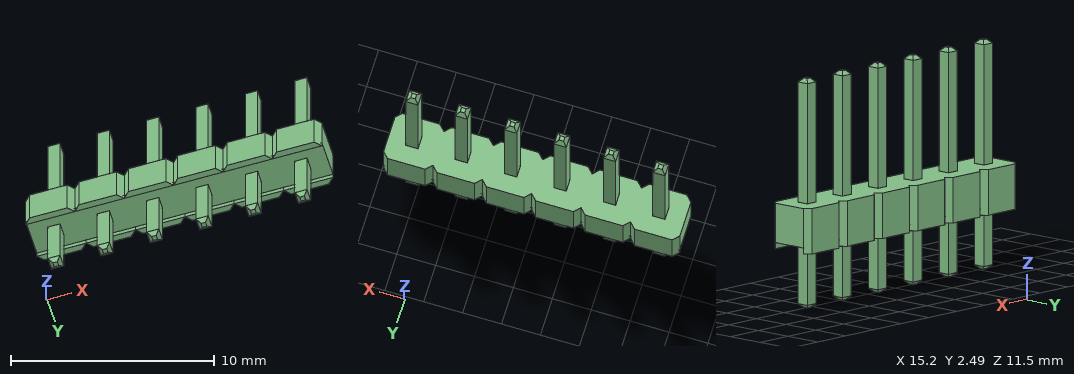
import cadquery as cq

pin_count = 6
pitch = 2.54
body_depth = 2.49
body_height = 2.29
corner_x = 0.30
corner_y = 0.31
channel_height = 0.31
pin_width = 0.635
pin_length = 11.54
pin_below_body = 3.01
tip_length = 0.20
tip_width = 0.235

row_length = pin_count * pitch
channel_width = body_depth - 2 * corner_y
pin_bottom = -pin_below_body
shank_length = pin_length - 2 * tip_length
pin_positions = [(i - (pin_count - 1) / 2) * pitch for i in range(pin_count)]


def housing_cell(x):
    """One octagonal insulator cell standing on Z = 0."""
    half_x = pitch / 2
    half_y = body_depth / 2
    flat_x = half_x - corner_x
    flat_y = half_y - corner_y
    outline = [
        (-flat_x, -half_y),
        (flat_x, -half_y),
        (half_x, -flat_y),
        (half_x, flat_y),
        (flat_x, half_y),
        (-flat_x, half_y),
        (-half_x, flat_y),
        (-half_x, -flat_y),
    ]
    return cq.Workplane("XY").center(x, 0).polyline(outline).close().extrude(body_height)


def pin_tip(x, base_z, direction):
    """Tapered pin end; direction is +1 for upward and -1 for downward."""
    return (
        cq.Workplane("XY", origin=(x, 0, base_z))
        .rect(pin_width, pin_width)
        .workplane(offset=direction * tip_length)
        .rect(tip_width, tip_width)
        .loft(ruled=True)
    )


def pin(x):
    """Square pin with a tapered tip at both ends."""
    shank_bottom = pin_bottom + tip_length
    shank_top = shank_bottom + shank_length
    shank = (
        cq.Workplane("XY", origin=(x, 0, shank_bottom))
        .rect(pin_width, pin_width)
        .extrude(shank_length)
    )
    return shank.union(pin_tip(x, shank_top, 1)).union(pin_tip(x, shank_bottom, -1))


housing = housing_cell(pin_positions[0])
for position in pin_positions[1:]:
    housing = housing.union(housing_cell(position))

channel = cq.Workplane("XY").rect(row_length, channel_width).extrude(channel_height)
housing = housing.cut(channel)

result = housing
for position in pin_positions:
    result = result.union(pin(position))